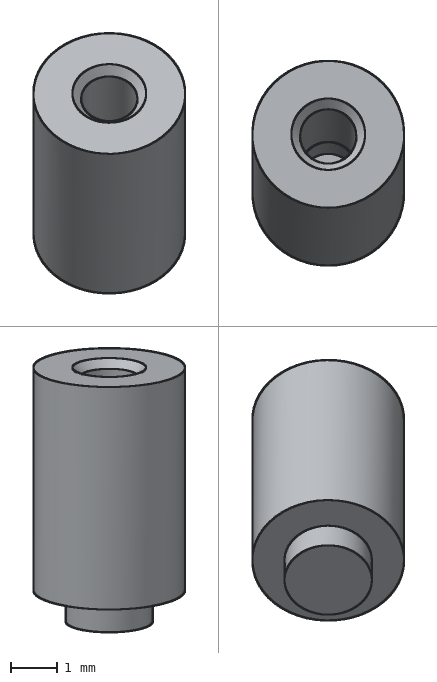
import cadquery as cq

total_height = 5.7
spigot_height = 0.7
body_diameter = 3.3
spigot_diameter = 1.9
bore_diameter = 1.22
bore_depth = 3.0
pilot_diameter = 1.2
pilot_depth = 4.0
countersink_diameter = 1.6
countersink_angle = 90.0

spigot = cq.Workplane("XY").circle(spigot_diameter / 2).extrude(spigot_height)

body_height = total_height - spigot_height
body = (
    cq.Workplane("XY")
    .workplane(offset=spigot_height)
    .circle(body_diameter / 2)
    .extrude(body_height)
)

top_plane = cq.Workplane("XY").workplane(offset=total_height)
pilot = top_plane.circle(pilot_diameter / 2).extrude(-pilot_depth)
bored_body = body.union(spigot).cut(pilot)
result = (
    bored_body.faces(">Z")
    .workplane(origin=(0, 0, total_height))
    .cskHole(bore_diameter, countersink_diameter, countersink_angle, depth=bore_depth)
)